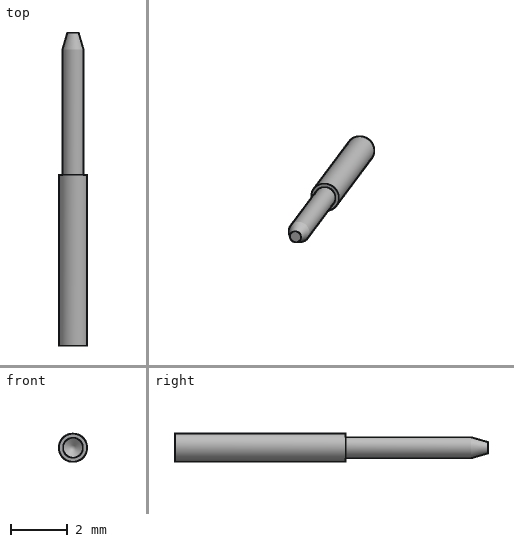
import cadquery as cq
import math

overall_length = 11.0
sleeve_length = 6.0
sleeve_diameter = 1.0
shaft_diameter = 0.75
tip_length = 0.6
tip_diameter = 0.4
bore_diameter = 0.7
bore_depth = 2.0
drill_point_angle = 118.0

rear_y = -overall_length / 2
front_y = overall_length / 2
shoulder_y = rear_y + sleeve_length
taper_y = front_y - tip_length
bore_end_y = rear_y + bore_depth


def revolve_about_y(profile):
    """Turn a closed outline of (radius, y) points into a solid around the Y axis."""
    axis_start = (0, 0)
    axis_end = (0, 1)
    return cq.Workplane("XY").polyline(profile).close().revolve(360, axis_start, axis_end)


def make_body():
    """Wide rear sleeve, narrower shaft and tapered front tip."""
    sleeve_radius = sleeve_diameter / 2
    shaft_radius = shaft_diameter / 2
    tip_radius = tip_diameter / 2
    return revolve_about_y([
        (0, rear_y),
        (sleeve_radius, rear_y),
        (sleeve_radius, shoulder_y),
        (shaft_radius, shoulder_y),
        (shaft_radius, taper_y),
        (tip_radius, front_y),
        (0, front_y),
    ])


def make_bore():
    """Blind hole in the rear face with a conical drill point."""
    bore_radius = bore_diameter / 2
    point_length = bore_radius / math.tan(math.radians(drill_point_angle / 2))
    return revolve_about_y([
        (0, rear_y),
        (bore_radius, rear_y),
        (bore_radius, bore_end_y),
        (0, bore_end_y + point_length),
    ])


result = make_body().cut(make_bore())